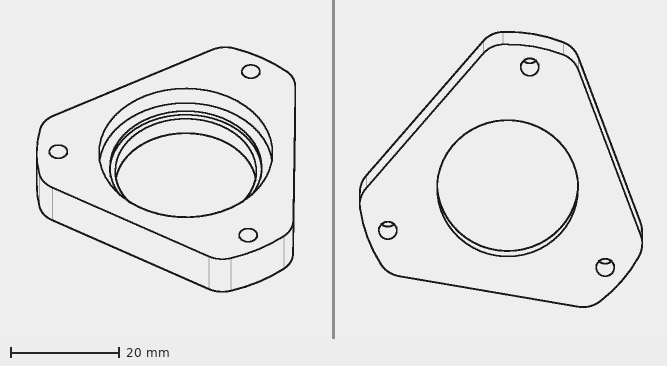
import cadquery as cq

thickness = 9.0
lobe_radius = 27.5
flat_distance = 20.0
corner_radius = 5.0
lobe_count = 3
first_lobe_angle = 90.0

through_diameter = 26.0
seat_diameter = 28.0
seat_depth = 5.0
counterbore_diameter = 32.0
counterbore_depth = 4.0

hole_diameter = 3.3
hole_circle_radius = 23.5


def make_plate():
    """Triangle intersected with the lobe disc, then rounded at every vertical edge."""
    triangle_circumdiameter = 4 * flat_distance
    triangle = (
        cq.Workplane("XY")
        .transformed(rotate=(0, 0, first_lobe_angle))
        .polygon(lobe_count, triangle_circumdiameter)
        .extrude(thickness)
    )
    disc = cq.Workplane("XY").circle(lobe_radius).extrude(thickness)
    return triangle.intersect(disc).edges("|Z").fillet(corner_radius)


def cut_bore_step(body, diameter, depth):
    """Cut a concentric round pocket down from the top face."""
    cutter = (
        cq.Workplane("XY")
        .workplane(offset=thickness - depth)
        .circle(diameter / 2)
        .extrude(depth)
    )
    return body.cut(cutter)


def cut_mounting_holes(body):
    """Cut a through hole in each lobe."""
    holes = (
        cq.Workplane("XY")
        .polarArray(hole_circle_radius, first_lobe_angle, 360, lobe_count)
        .circle(hole_diameter / 2)
        .extrude(thickness)
    )
    return body.cut(holes)


plate = make_plate()
plate = cut_bore_step(plate, through_diameter, thickness)
plate = cut_bore_step(plate, seat_diameter, seat_depth)
plate = cut_bore_step(plate, counterbore_diameter, counterbore_depth)
result = cut_mounting_holes(plate)